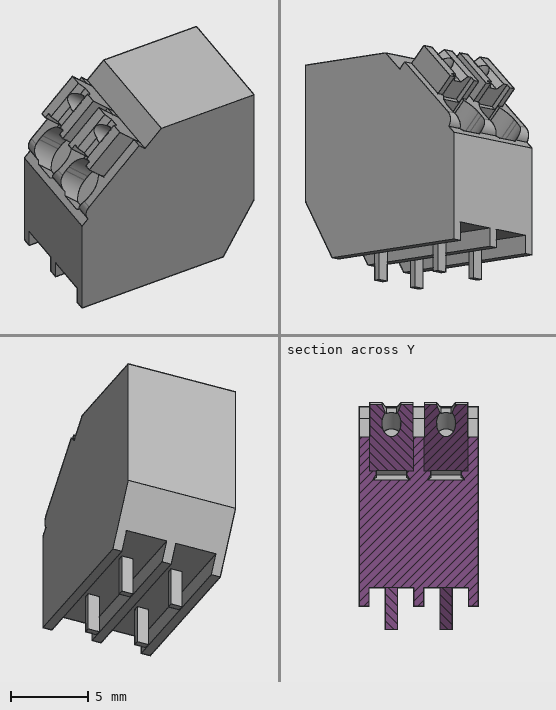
import cadquery as cq
import math


DIAGONAL = math.sqrt(0.5)

width = 7.7
foot_width = 0.65
pole_count = 2
pitch = (width - foot_width) / pole_count
pole_positions = [(i - (pole_count - 1) / 2) * pitch for i in range(pole_count)]

depth = 12.7
height = 12.9
top_front_y = 5.85
back_chamfer_height = 3.95
back_chamfer_run = back_chamfer_height / math.tan(math.radians(60))
front_height = 7.0
lip_y = 0.44
nose_z = 8.42
foot_gap_width = pitch - foot_width
foot_gap_height = 1.2

button_width = 2.8
button_length = 3.19
button_height = 1.48
button_foot_y = 1.96
button_foot_z = 9.86
notch_width = 1.9
notch_length = 0.34
notch_depth = 0.34
groove_top_width = 1.22
groove_floor_width = 0.63
groove_depth = 0.49
driver_hole_diameter = 1.2
driver_hole_depth = 1.5
driver_hole_from_end = 1.03

entry_width = 3.0
entry_length = 3.33
entry_depth = 1.97
entry_center = -1.5
entry_flat = 1.46
throat_width = 1.95
button_seat_depth = entry_depth

pin_width = 0.8
pin_thickness = 0.4
pin_rows = [3.05, 8.05]
pin_length_below = 1.5


def slope_plane(x, along, above):
    """Plane parallel to the slope, placed from the lower end of a button: local Y runs up the slope."""
    y = button_foot_y + (along - above) * DIAGONAL
    z = button_foot_z + (along + above) * DIAGONAL
    return cq.Workplane(cq.Plane(origin=(x, y, z), xDir=(1, 0, 0), normal=(0, -1, 1)))


def slope_box(x, box_width, start, length, bottom, top):
    """Box standing square to the slope between two heights above it."""
    middle = start + length / 2
    return slope_plane(x, middle, bottom).rect(box_width, length).extrude(top - bottom)


def button_block(x):
    return slope_box(x, button_width, 0, button_length, -button_seat_depth, button_height)


def make_button(x):
    notch = slope_box(x, notch_width, 0, notch_length, -notch_depth, button_height)

    end_plane = cq.Plane(origin=slope_plane(x, 0, button_height).plane.origin.toTuple(),
                         xDir=(1, 0, 0), normal=(0, 1, 1))
    half_top = groove_top_width / 2
    half_floor = groove_floor_width / 2
    groove = (cq.Workplane(end_plane)
              .polyline([(-half_top, 0), (half_top, 0),
                         (half_floor, groove_depth), (-half_floor, groove_depth)])
              .close().extrude(button_length))

    hole_bottom = button_height - groove_depth - driver_hole_depth
    driver_hole = (slope_plane(x, button_length - driver_hole_from_end, hole_bottom)
                   .circle(driver_hole_diameter / 2).extrude(groove_depth + driver_hole_depth))
    return button_block(x).cut(notch).cut(groove).cut(driver_hole)


def wire_entry(x):
    """Rounded blind slot with a flat lower wall and a straight throat up to the button."""
    top = button_height
    slot = (slope_plane(x, entry_center, -entry_depth)
            .slot2D(entry_length, entry_width, 90).extrude(entry_depth + top))
    above_flat = slope_box(x, entry_width, entry_center - entry_flat, entry_length, -entry_depth, top)
    throat = slope_box(x, throat_width, entry_center, -entry_center, -entry_depth, top)
    return slot.intersect(above_flat).union(throat)


def make_housing():
    slope_offset = button_foot_z - button_foot_y
    end_sum = button_foot_y + button_foot_z + button_length / DIAGONAL
    ridge_y = (end_sum - slope_offset) / 2
    ridge_z = (end_sum + slope_offset) / 2
    valley_y = (end_sum - height + top_front_y) / 2
    valley_z = end_sum - valley_y

    body = (cq.Workplane("YZ")
            .moveTo(0, 0)
            .lineTo(depth - back_chamfer_run, 0)
            .lineTo(depth, back_chamfer_height)
            .lineTo(depth, height)
            .lineTo(top_front_y, height)
            .lineTo(valley_y, valley_z)
            .lineTo(ridge_y, ridge_z)
            .lineTo(nose_z - slope_offset, nose_z)
            .tangentArcPoint((lip_y, front_height + lip_y), relative=False)
            .lineTo(0, front_height)
            .close()
            .extrude(width / 2, both=True))
    for x in pole_positions:
        foot_gap = (cq.Workplane("XY", origin=(x, depth / 2, 0))
                    .rect(foot_gap_width, depth).extrude(foot_gap_height))
        body = body.cut(foot_gap)
        body = body.cut(button_block(x)).cut(wire_entry(x))
    return body


def make_pin(x, y):
    """Pin standing against the roof of the gap between the feet."""
    return (cq.Workplane("XY", origin=(x, y, -pin_length_below))
            .rect(pin_width, pin_thickness).extrude(pin_length_below + foot_gap_height))


housing = make_housing()
buttons = [make_button(x) for x in pole_positions]
pins = [make_pin(x, y) for x in pole_positions for y in pin_rows]

result = cq.Compound.makeCompound([
    housing.solids().val(),
    *[button.solids().val() for button in buttons],
    *[pin.val() for pin in pins],
])